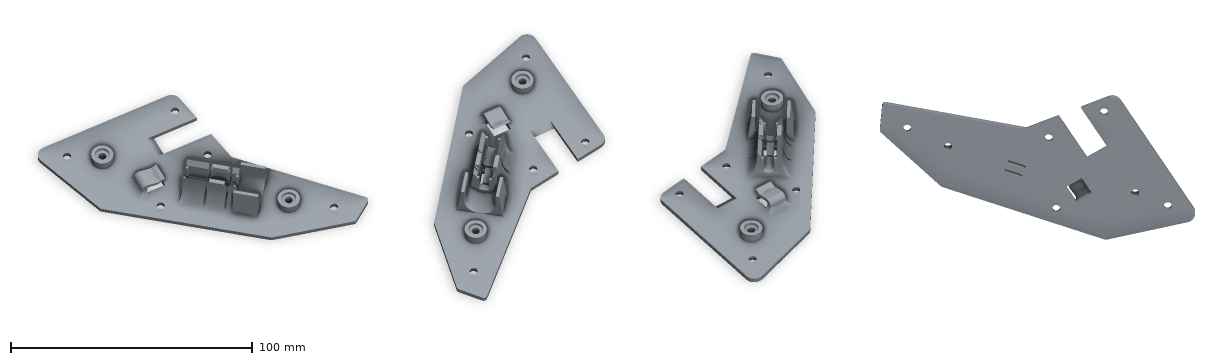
import cadquery as cq
import math

plate_thickness = 2.0
end_radius = 4.0
corner_radius = 1.5
outline_corners = [
    (0, 65.2, end_radius),
    (39.9, 71.4, corner_radius),
    (84.5, 112.7, corner_radius),
    (92.2, 102.3, corner_radius),
    (83.7, 67.5, corner_radius),
    (38.4, 11.1, corner_radius),
    (0, -1.6, end_radius),
]

notch_left = 15.6
notch_right = 25.5
notch_bottom = 47.6
notch_top = 78.4
notch_bevel = 3.4

hole_diameter = 3.4
hole_centers = [(8.4, 61.2), (34.2, 63.1), (81.8, 97.6), (48.4, 34.0), (8.4, 10.9)]
boss_centers = [(16.8, 23.0), (71.8, 81.6)]
boss_diameter = 9.2
boss_top = 6.0
recess_diameter = 6.2
recess_depth = 1.2

cradle_origin = (43.6, 46.4)
cradle_angle = 51.0
cradle_top = 15.0
wall_height = cradle_top - plate_thickness
foot_half_width = 9.6
wall_half_width = 4.7
side_flare = foot_half_width - wall_half_width
end_flare = 1.1
end_flare_top = 7.4
channel_half_width = 3.1
channel_bottom = 4.5
channel_corner_height = 5.9
lead_in_bottom = 12.8
lip_length = 1.0
lip_gap_half_width = 2.1
lip_top = 12.1
slit_width = 1.1
first_slit_start = 10.5
second_slit_start = 19.4
clip_start = first_slit_start + slit_width
clip_length = second_slit_start - clip_start
clip_slot_inner = 1.5
clip_slot_outer = 2.8
hook_top_half_gap = 2.9
hook_nose_half_gap = 2.6
hook_inset = 0.7
saddle_start = 23.3
saddle_end = 33.7
saddle_length = saddle_end - saddle_start
saddle_radius = 6.6
saddle_floor = 2.2
saddle_rim_half_width = 8.0
saddle_wall_bottom_half_width = 9.6
saddle_foot_half_width = 10.8
saddle_foot_top = 3.0

tab_left = 32.0
tab_right = 39.9
tab_width = tab_right - tab_left
tab_tip = 40.3
post_front = 29.8
post_back = 32.0
foot_flare = 2.5
arm_bend_radius = 2.5


def box(x_min, x_max, y_min, y_max, z_min, z_max):
    size = (x_max - x_min, y_max - y_min, z_max - z_min)
    return cq.Workplane("XY").box(*size, centered=False).translate((x_min, y_min, z_min))


def both_sides(solid):
    return solid.union(solid.mirror("YZ"))


def base_plate():
    points = [(x, y) for x, y, _ in outline_corners]
    plate = cq.Workplane("XY").polyline(points).close().extrude(plate_thickness)
    for x, y, radius in outline_corners:
        corner = cq.selectors.NearestToPointSelector((x, y, plate_thickness / 2))
        plate = plate.edges("|Z").edges(corner).fillet(radius)
    notch = (
        cq.Workplane("YZ", origin=(notch_left, 0, 0))
        .polyline([
            (notch_bottom, 0),
            (notch_bottom - notch_bevel, plate_thickness),
            (notch_top, plate_thickness),
            (notch_top, 0),
        ])
        .close()
        .extrude(notch_right - notch_left)
    )
    return plate.cut(notch)


def bosses():
    return cq.Workplane("XY").pushPoints(boss_centers).circle(boss_diameter / 2).extrude(boss_top)


def boss_recesses():
    return (
        cq.Workplane("XY", origin=(0, 0, boss_top - recess_depth))
        .pushPoints(boss_centers)
        .circle(recess_diameter / 2)
        .extrude(recess_depth)
    )


def screw_holes():
    centers = hole_centers + boss_centers
    return cq.Workplane("XY").pushPoints(centers).circle(hole_diameter / 2).extrude(boss_top)


def channel():
    """Round-bottomed trough with a flared opening, along the whole cradle."""
    return (
        cq.Workplane("XZ")
        .moveTo(-channel_half_width, channel_corner_height)
        .threePointArc((0, channel_bottom), (channel_half_width, channel_corner_height))
        .lineTo(channel_half_width, lead_in_bottom)
        .lineTo(wall_half_width, cradle_top)
        .lineTo(-wall_half_width, cradle_top)
        .lineTo(-channel_half_width, lead_in_bottom)
        .close()
        .extrude(-saddle_start)
    )


def cradle_body():
    body = box(-foot_half_width, foot_half_width, 0, saddle_start, plate_thickness, cradle_top)
    side_hollow = (
        cq.Workplane("XZ")
        .center(foot_half_width, cradle_top)
        .ellipse(side_flare, wall_height)
        .extrude(-saddle_start)
    )
    body = body.cut(both_sides(side_hollow))
    end_hollow = (
        cq.Workplane("YZ", origin=(-foot_half_width, 0, 0))
        .center(0, end_flare_top)
        .ellipse(end_flare, end_flare_top - plate_thickness)
        .extrude(2 * foot_half_width)
    )
    above_flare = box(-foot_half_width, foot_half_width, 0, end_flare, end_flare_top, cradle_top)
    return body.cut(end_hollow).cut(above_flare)


def lips(start):
    """Pair of stops that narrow the channel, ending below its flared opening."""
    return both_sides(
        box(lip_gap_half_width, channel_half_width, start, start + lip_length, channel_bottom, lip_top)
    )


def clip_hooks():
    """Flat-topped hooks that lean into the channel from both clip walls."""
    hook = (
        cq.Workplane("XZ", origin=(0, clip_start + hook_inset, 0))
        .polyline([
            (wall_half_width, cradle_top),
            (hook_top_half_gap, cradle_top),
            (hook_nose_half_gap, lead_in_bottom),
            (channel_half_width, lip_top),
            (channel_half_width, lead_in_bottom),
        ])
        .close()
        .extrude(-(clip_length - 2 * hook_inset))
    )
    return both_sides(hook)


def saddle():
    """Wide half-round rest with sloping walls at the far end of the cradle."""
    foot_rise = saddle_foot_top - plate_thickness
    foot_reach = saddle_foot_half_width - saddle_wall_bottom_half_width
    bend = 1 - math.sqrt(0.5)
    foot_middle = (
        saddle_wall_bottom_half_width + foot_reach * bend,
        plate_thickness + foot_rise * bend,
    )
    half = (
        cq.Workplane("XZ", origin=(0, saddle_start, 0))
        .moveTo(0, plate_thickness)
        .lineTo(saddle_foot_half_width, plate_thickness)
        .threePointArc(foot_middle, (saddle_wall_bottom_half_width, saddle_foot_top))
        .lineTo(saddle_rim_half_width, cradle_top)
        .lineTo(0, cradle_top)
        .close()
        .extrude(-saddle_length)
    )
    axis_height = saddle_floor + saddle_radius
    trough = (
        cq.Workplane("XZ", origin=(0, saddle_start, axis_height))
        .circle(saddle_radius)
        .extrude(-saddle_length)
    )
    opening = box(-saddle_radius, saddle_radius, saddle_start, saddle_end, axis_height, cradle_top)
    return both_sides(half).cut(trough).cut(opening)


def cradle():
    body = cradle_body().cut(channel())
    body = body.union(lips(end_flare)).union(lips(saddle_start - lip_length))
    for start in (first_slit_start, second_slit_start):
        slit = box(
            -foot_half_width, foot_half_width, start, start + slit_width, plate_thickness, cradle_top
        )
        body = body.cut(slit)
    return body.union(saddle())


def clip_slots():
    """Slots through the floor and the plate that free the clip walls."""
    return both_sides(
        box(
            clip_slot_inner, clip_slot_outer, clip_start, clip_start + clip_length, 0, cradle_top
        )
    )


def place(solid):
    turned = solid.rotate((0, 0, 0), (0, 0, 1), cradle_angle - 90)
    return turned.translate((*cradle_origin, 0))


def tab_window():
    return box(tab_left, tab_right, post_back, tab_tip, 0, plate_thickness)


def spring_tab():
    foot_top = plate_thickness + foot_flare
    bend = 1 - math.sqrt(0.5)
    bend_middle = (post_front + arm_bend_radius * bend, foot_top + arm_bend_radius * (1 - bend))
    arm = (
        cq.Workplane("YZ", origin=(tab_left, 0, 0))
        .moveTo(post_front, plate_thickness)
        .lineTo(post_front, foot_top)
        .threePointArc(bend_middle, (post_front + arm_bend_radius, foot_top + arm_bend_radius))
        .lineTo(36.6, 6.0)
        .lineTo(37.3, 5.8)
        .lineTo(38.0, 5.9)
        .lineTo(39.0, 6.5)
        .lineTo(tab_tip, 6.7)
        .lineTo(38.5, 5.3)
        .lineTo(37.4, 4.6)
        .lineTo(35.7, 4.7)
        .lineTo(33.5, 5.3)
        .lineTo(32.6, 5.3)
        .lineTo(post_back, 4.7)
        .lineTo(post_back, plate_thickness)
        .close()
        .extrude(tab_width)
    )
    foot = box(
        tab_left - foot_flare, tab_right + foot_flare, post_front - foot_flare, post_back,
        plate_thickness, foot_top,
    )
    front_hollow = (
        cq.Workplane("YZ", origin=(tab_left - foot_flare, post_front - foot_flare, foot_top))
        .circle(foot_flare)
        .extrude(tab_width + 2 * foot_flare)
    )
    side_hollows = (
        cq.Workplane("XZ", origin=(0, post_back, 0))
        .pushPoints([(tab_left - foot_flare, foot_top), (tab_right + foot_flare, foot_top)])
        .circle(foot_flare)
        .extrude(post_back - post_front + foot_flare)
    )
    return arm.union(foot.cut(front_hollow).cut(side_hollows))


result = base_plate().cut(tab_window()).union(spring_tab())
result = result.union(bosses()).cut(boss_recesses()).cut(screw_holes())
result = result.union(place(cradle())).cut(place(clip_slots())).union(place(clip_hooks()))